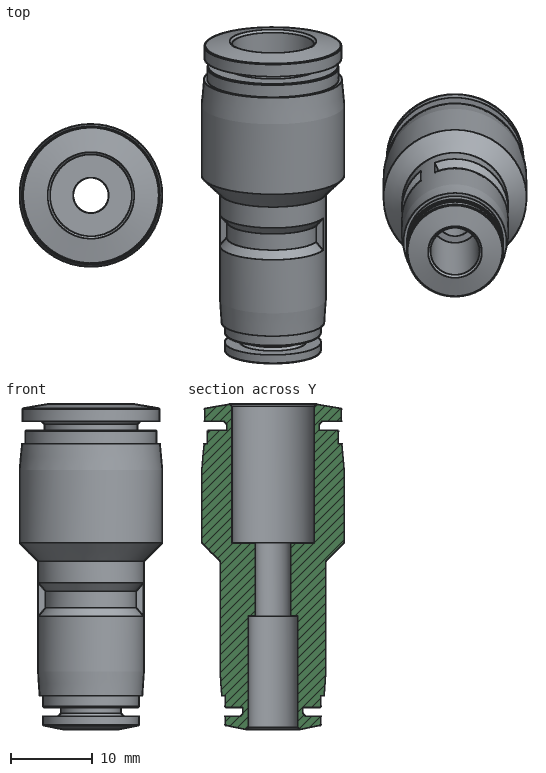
import cadquery as cq


TOTAL_LENGTH = 39.84
SMALL_FLANGE_TOP = 1.65
SMALL_NECK_TOP = 2.7
SMALL_COLLAR_TOP = 4.15
SMALL_TAPER_TOP = 7.1
GROOVE_BOTTOM = 13.9
GROOVE_TOP = 17.95
SMALL_BODY_TOP = 20.6
LARGE_TAPER_BOTTOM = 31.75
LARGE_COLLAR_BOTTOM = 35.0
LARGE_NECK_BOTTOM = 36.65
LARGE_FLANGE_BOTTOM = 37.7

SMALL_BORE_R = 6.0 / 2
SMALL_NECK_R = 7.4 / 2
SMALL_FLANGE_R = 11.8 / 2
SMALL_COLLAR_R = SMALL_FLANGE_R
SMALL_TAPER_END_R = 12.6 / 2
SMALL_BODY_R = 13.0 / 2

LARGE_BORE_R = 10.0 / 2
LARGE_NECK_R = 11.4 / 2
LARGE_COLLAR_R = 16.1 / 2
LARGE_FLANGE_R = 16.8 / 2
LARGE_TAPER_END_R = 16.9 / 2
LARGE_BODY_R = 17.5 / 2

SHOULDER_TOP = SMALL_BODY_TOP + LARGE_BODY_R - SMALL_BODY_R

CROWN_HEIGHT = 0.5
EDGE_CHAMFER = 0.12
COLLAR_CHAMFER = 0.15
BORE_CHAMFER = 0.3
NECK_FLARE = 0.35

THROUGH_HOLE_R = 4.3 / 2
LARGE_BORE_DEPTH = TOTAL_LENGTH - SHOULDER_TOP
SMALL_BORE_DEPTH = GROOVE_BOTTOM

GROOVE_FLOOR_R = 11.3 / 2
GROOVE_FLANK = 1.0
RIB_WIDTH = 2.0


def outer_body():
    """Revolve the outside profile of the whole fitting."""
    small_mouth_r = SMALL_BORE_R + BORE_CHAMFER
    large_mouth_r = LARGE_BORE_R + BORE_CHAMFER
    large_crown_base = TOTAL_LENGTH - CROWN_HEIGHT
    profile = (
        cq.Workplane("XZ")
        .moveTo(0, 0)
        .lineTo(small_mouth_r, 0)
        .lineTo(SMALL_FLANGE_R - EDGE_CHAMFER, CROWN_HEIGHT)
        .lineTo(SMALL_FLANGE_R, CROWN_HEIGHT + EDGE_CHAMFER)
        .lineTo(SMALL_FLANGE_R, SMALL_FLANGE_TOP)
        .lineTo(SMALL_NECK_R + NECK_FLARE, SMALL_FLANGE_TOP)
        .lineTo(SMALL_NECK_R, SMALL_FLANGE_TOP + NECK_FLARE)
        .lineTo(SMALL_NECK_R, SMALL_NECK_TOP)
        .lineTo(SMALL_COLLAR_R - COLLAR_CHAMFER, SMALL_NECK_TOP)
        .lineTo(SMALL_COLLAR_R, SMALL_NECK_TOP + COLLAR_CHAMFER)
        .lineTo(SMALL_COLLAR_R, SMALL_COLLAR_TOP)
        .lineTo(SMALL_TAPER_END_R, SMALL_COLLAR_TOP)
        .lineTo(SMALL_BODY_R, SMALL_TAPER_TOP)
        .lineTo(SMALL_BODY_R, SMALL_BODY_TOP)
        .lineTo(LARGE_BODY_R, SHOULDER_TOP)
        .lineTo(LARGE_BODY_R, LARGE_TAPER_BOTTOM)
        .lineTo(LARGE_TAPER_END_R, LARGE_COLLAR_BOTTOM)
        .lineTo(LARGE_COLLAR_R, LARGE_COLLAR_BOTTOM)
        .lineTo(LARGE_COLLAR_R, LARGE_NECK_BOTTOM - COLLAR_CHAMFER)
        .lineTo(LARGE_COLLAR_R - COLLAR_CHAMFER, LARGE_NECK_BOTTOM)
        .lineTo(LARGE_NECK_R, LARGE_NECK_BOTTOM)
        .lineTo(LARGE_NECK_R, LARGE_FLANGE_BOTTOM - NECK_FLARE)
        .lineTo(LARGE_NECK_R + NECK_FLARE, LARGE_FLANGE_BOTTOM)
        .lineTo(LARGE_FLANGE_R, LARGE_FLANGE_BOTTOM)
        .lineTo(LARGE_FLANGE_R, large_crown_base - EDGE_CHAMFER)
        .lineTo(LARGE_FLANGE_R - EDGE_CHAMFER, large_crown_base)
        .lineTo(large_mouth_r, TOTAL_LENGTH)
        .lineTo(0, TOTAL_LENGTH)
        .close()
    )
    return profile.revolve(360, (0, 0, 0), (0, 1, 0))


def stepped_bore():
    """Both tube bores with chamfered mouths, joined by the through hole."""
    large_floor = TOTAL_LENGTH - LARGE_BORE_DEPTH
    profile = (
        cq.Workplane("XZ")
        .moveTo(0, 0)
        .lineTo(SMALL_BORE_R + BORE_CHAMFER, 0)
        .lineTo(SMALL_BORE_R, BORE_CHAMFER)
        .lineTo(SMALL_BORE_R, SMALL_BORE_DEPTH)
        .lineTo(THROUGH_HOLE_R, SMALL_BORE_DEPTH)
        .lineTo(THROUGH_HOLE_R, large_floor)
        .lineTo(LARGE_BORE_R, large_floor)
        .lineTo(LARGE_BORE_R, TOTAL_LENGTH - BORE_CHAMFER)
        .lineTo(LARGE_BORE_R + BORE_CHAMFER, TOTAL_LENGTH)
        .lineTo(0, TOTAL_LENGTH)
        .close()
    )
    return profile.revolve(360, (0, 0, 0), (0, 1, 0))


def interrupted_groove():
    """Trapezoidal ring groove, left uncut at the two ribs on the X axis."""
    ring = (
        cq.Workplane("XZ")
        .moveTo(SMALL_BODY_R, GROOVE_BOTTOM)
        .lineTo(GROOVE_FLOOR_R, GROOVE_BOTTOM + GROOVE_FLANK)
        .lineTo(GROOVE_FLOOR_R, GROOVE_TOP - GROOVE_FLANK)
        .lineTo(SMALL_BODY_R, GROOVE_TOP)
        .close()
        .revolve(360, (0, 0, 0), (0, 1, 0))
    )
    ribs = cq.Workplane("XY").box(2 * LARGE_BODY_R, RIB_WIDTH, TOTAL_LENGTH, centered=(True, True, False))
    return ring.cut(ribs)


result = outer_body().cut(interrupted_groove()).cut(stepped_bore())